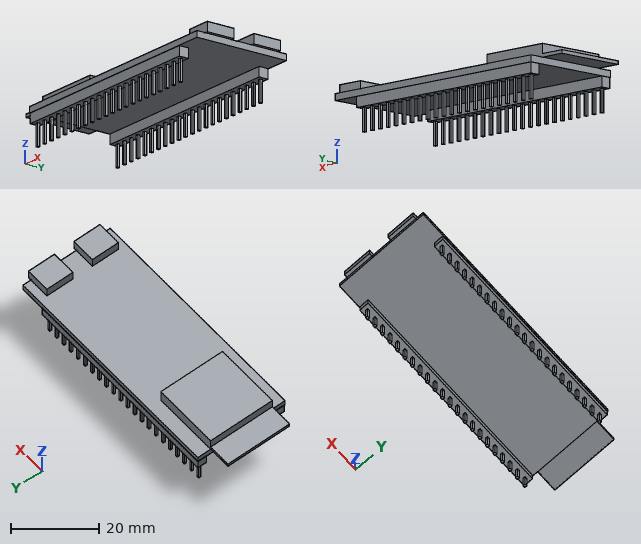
import cadquery as cq

OVERALL_HEIGHT = 13.0

BOARD_LENGTH = 62.75
BOARD_WIDTH = 25.5
BOARD_THICKNESS = 1.6

MODULE_WIDTH = 18.0
MODULE_OVERHANG = 6.2
MODULE_BASE_THICKNESS = 0.85
SHIELD_LENGTH = 17.9
SHIELD_TOP_HEIGHT = 3.2

CONNECTOR_LENGTH = 6.6
CONNECTOR_WIDTH = 7.6
CONNECTOR_HEIGHT = 2.5
CONNECTOR_OVERHANG = 0.85
CONNECTOR_SPACING = 13.25

PIN_COUNT = 22
PIN_SPAN = 53.4
PIN_PITCH = PIN_SPAN / (PIN_COUNT - 1)
HEADER_LENGTH = 55.85
HEADER_SIDE = PIN_PITCH
HEADER_START = 0.15
ROW_SPACING = 22.7
PIN_SIDE = 0.6
PIN_LENGTH = OVERALL_HEIGHT - SHIELD_TOP_HEIGHT - BOARD_THICKNESS - HEADER_SIDE


def block(x_start, y_centre, z_bottom, length, width, height):
    """Box starting at x_start and z_bottom, centred on y_centre."""
    return (
        cq.Workplane("XY")
        .box(length, width, height, centered=(False, True, False))
        .translate((x_start, y_centre, z_bottom))
    )


def radio_module():
    base_length = MODULE_OVERHANG + SHIELD_LENGTH
    base = block(-MODULE_OVERHANG, 0, BOARD_THICKNESS, base_length, MODULE_WIDTH, MODULE_BASE_THICKNESS)
    shield = block(0, 0, BOARD_THICKNESS, SHIELD_LENGTH, MODULE_WIDTH, SHIELD_TOP_HEIGHT)
    return base.union(shield)


def connector(y_centre):
    x_start = BOARD_LENGTH + CONNECTOR_OVERHANG - CONNECTOR_LENGTH
    return block(x_start, y_centre, BOARD_THICKNESS, CONNECTOR_LENGTH, CONNECTOR_WIDTH, CONNECTOR_HEIGHT)


def pin_header(y_centre):
    strip = block(HEADER_START, y_centre, -HEADER_SIDE, HEADER_LENGTH, HEADER_SIDE, HEADER_SIDE)
    first_pin = HEADER_START + (HEADER_LENGTH - PIN_SPAN) / 2
    pin_centres = [(first_pin + index * PIN_PITCH, y_centre) for index in range(PIN_COUNT)]
    pins = (
        cq.Workplane("XY")
        .workplane(offset=-HEADER_SIDE)
        .pushPoints(pin_centres)
        .rect(PIN_SIDE, PIN_SIDE)
        .extrude(-PIN_LENGTH)
    )
    return strip.union(pins)


result = block(0, 0, 0, BOARD_LENGTH, BOARD_WIDTH, BOARD_THICKNESS)
result = result.union(radio_module())
for side in (-1, 1):
    result = result.union(connector(side * CONNECTOR_SPACING / 2))
    result = result.union(pin_header(side * ROW_SPACING / 2))